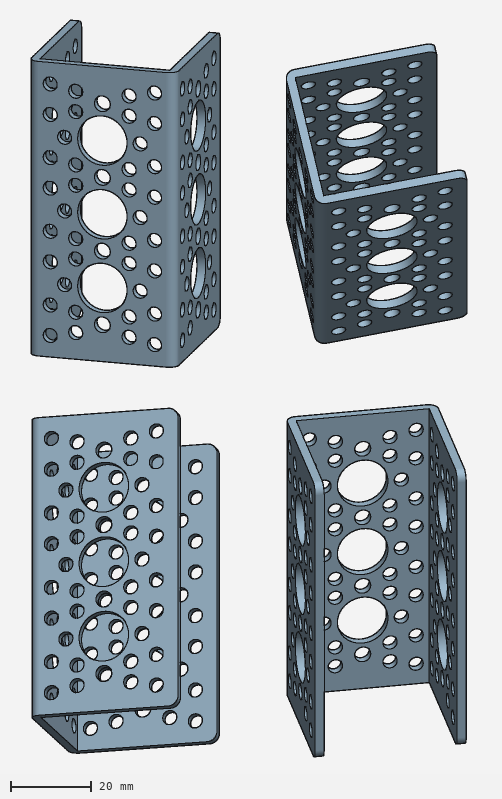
import cadquery as cq
import math

length = 76.2
width = 38.1
depth = 38.1
thickness = 2.3
bend_radius = 2.5
corner_radius = 2.5

pitch = width / 2
bore_count = 3
bore_diameter = 12.7
centre_hole_diameter = 4.05
screw_hole_diameter = 3.6
inner_circle_radius = 9.75
outer_circle_radius = pitch


def make_channel():
    """U-shaped channel, open toward +Y, centred on the origin."""
    outside = cq.Workplane("XY").box(width, depth, length)
    outside = outside.edges("|Z and <Y").fillet(bend_radius)
    outside = outside.edges("|X and >Y").fillet(corner_radius)
    inside = cq.Workplane("XY").box(width - 2 * thickness, depth, length)
    return outside.cut(inside.translate((0, thickness, 0)))


def diagonal_points(circle_radius, centre_heights):
    """Points at 45 degrees around each centre that fall within the channel length."""
    offset = circle_radius * math.cos(math.radians(45))
    points = []
    for height in centre_heights:
        for across in (-offset, offset):
            for along in (height - offset, height + offset):
                if abs(along) < length / 2:
                    points.append((across, along))
    return points


def make_hole_cutters(plane):
    """Pins for one face pattern, reaching right across the channel from both sides."""
    bore_heights = [(i - (bore_count - 1) / 2) * pitch for i in range(bore_count)]
    end_height = bore_heights[-1] + pitch
    circle_heights = [-end_height] + bore_heights + [end_height]

    bores = [(0, height) for height in bore_heights]
    centre_holes = [(0, (i - bore_count / 2) * pitch) for i in range(bore_count + 1)]
    side_holes = [(side * inner_circle_radius, height) for height in bore_heights for side in (-1, 1)]
    screw_holes = (
        side_holes
        + diagonal_points(inner_circle_radius, circle_heights)
        + diagonal_points(outer_circle_radius, circle_heights)
    )

    cutters = cq.Workplane(plane)
    for points, diameter in (
        (bores, bore_diameter),
        (centre_holes, centre_hole_diameter),
        (screw_holes, screw_hole_diameter),
    ):
        pins = cq.Workplane(plane).pushPoints(points).circle(diameter / 2)
        cutters = cutters.add(pins.extrude(width, both=True).vals())
    return cutters.combine()


channel = make_channel()
web_holes = make_hole_cutters("XZ")
flange_holes = make_hole_cutters("YZ")
result = channel.cut(web_holes).cut(flange_holes)